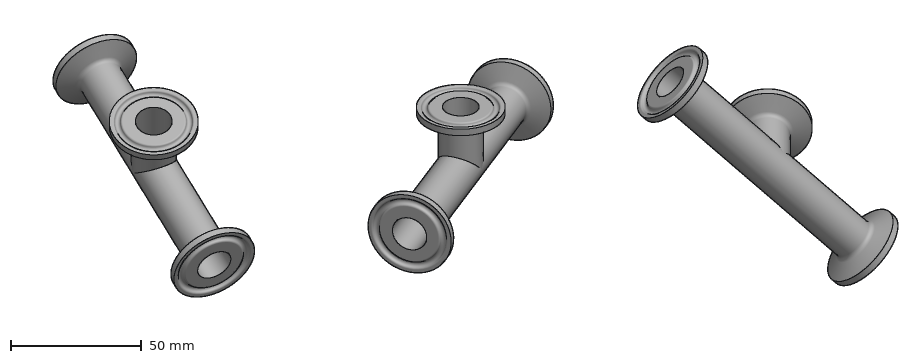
import cadquery as cq
import math

run_length = 110.0
total_height = 43.1
tube_diameter = 17.3
bore_diameter = 14.0

flange_diameter = 34.0
rim_thickness = 2.9
cone_angle = math.radians(20)
neck_fillet = 2.0

groove_centre_radius = 13.8
groove_arc_radius = 1.2
groove_depth = 1.4
groove_lip_half_width = 1.92

tube_radius = tube_diameter / 2
bore_radius = bore_diameter / 2
flange_radius = flange_diameter / 2
run_half_length = run_length / 2
branch_length = total_height - flange_radius

groove_arc_height = groove_arc_radius - groove_depth
lip_radius = (groove_lip_half_width**2 + groove_arc_height**2 - groove_arc_radius**2) / (2 * groove_depth)


def leg_body(length):
    """Solid tube along +Z from the tee centre, ending in a clamp flange."""
    cone_height = (flange_radius - tube_radius) * math.tan(cone_angle)
    corner = length - rim_thickness - cone_height

    middle_angle = (math.pi / 2 - cone_angle) / 2
    tangent_length = neck_fillet * math.tan(middle_angle)
    fillet_start = (tube_radius, corner - tangent_length)
    fillet_end = (
        tube_radius + tangent_length * math.cos(cone_angle),
        corner + tangent_length * math.sin(cone_angle),
    )
    fillet_middle = (
        tube_radius + neck_fillet * (1 - math.cos(middle_angle)),
        fillet_start[1] + neck_fillet * math.sin(middle_angle),
    )
    return (
        cq.Workplane("XZ")
        .lineTo(tube_radius, 0)
        .lineTo(*fillet_start)
        .threePointArc(fillet_middle, fillet_end)
        .lineTo(flange_radius, length - rim_thickness)
        .lineTo(flange_radius, length)
        .lineTo(0, length)
        .close()
        .revolve(360, (0, 0, 0), (0, 1, 0))
    )


def gasket_groove(length):
    """Ring to remove from the flange face of a leg along +Z."""
    join_angle = math.atan2(groove_lip_half_width, groove_arc_height + lip_radius)

    def at(offset, height):
        return (groove_centre_radius + offset, length + height)

    join_offset = groove_arc_radius * math.sin(join_angle)
    join_height = groove_arc_height - groove_arc_radius * math.cos(join_angle)
    lip_middle_offset = groove_lip_half_width - lip_radius * math.sin(join_angle / 2)
    lip_middle_height = lip_radius * (math.cos(join_angle / 2) - 1)
    return (
        cq.Workplane("XZ")
        .moveTo(*at(-groove_lip_half_width, 0))
        .threePointArc(at(-lip_middle_offset, lip_middle_height), at(-join_offset, join_height))
        .threePointArc(at(0, -groove_depth), at(join_offset, join_height))
        .threePointArc(at(lip_middle_offset, lip_middle_height), at(groove_lip_half_width, 0))
        .close()
        .revolve(360, (0, 0, 0), (0, 1, 0))
    )


def leg_bore(length):
    """Through bore of a leg along +Z."""
    return cq.Workplane("XY").circle(bore_radius).extrude(length)


def tee(shape):
    """Place a leg feature on the branch and on both ends of the run."""
    legs = shape(branch_length)
    run = shape(run_half_length)
    for turn in (90, -90):
        legs = legs.union(run.rotate((0, 0, 0), (0, 1, 0), turn))
    return legs


result = tee(leg_body).cut(tee(leg_bore)).cut(tee(gasket_groove))